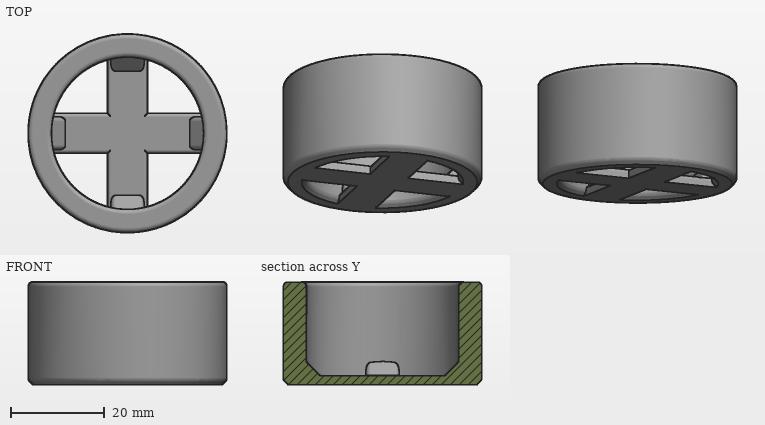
import cadquery as cq

outer_diameter = 42.5
bore_diameter = 32.5
height = 22.0
edge_round = 1.0
bottom_chamfer = 1.0
chamfer_blend = 1.0

arm_top_width = 7.05
arm_edge_round = 0.75
arm_width = arm_top_width + 2 * arm_edge_round
cross_height = 2.0

gusset_inner_radius = 13.25
gusset_round = 1.0

outer_radius = outer_diameter / 2
bore_radius = bore_diameter / 2
wall_middle = (outer_radius + bore_radius) / 2


def make_ring():
    """Ring with rounded top rims and blended chamfers on both bottom rims."""
    ring = cq.Workplane("XY").circle(outer_radius).circle(bore_radius).extrude(height)
    ring = ring.faces(">Z").edges().fillet(edge_round)
    ring = ring.faces("<Z").chamfer(bottom_chamfer)
    chamfer_corners = cq.selectors.BoxSelector(
        (-outer_radius, -outer_radius, bottom_chamfer / 2),
        (outer_radius, outer_radius, bottom_chamfer * 3 / 2),
    )
    return ring.edges("%CIRCLE").edges(chamfer_corners).fillet(chamfer_blend)


def make_cross():
    """Four arms with rounded upper edges, ending inside the wall."""
    length = 2 * wall_middle
    cross = cq.Workplane("XY").rect(length, arm_width).extrude(cross_height)
    cross = cross.union(cq.Workplane("XY").rect(arm_width, length).extrude(cross_height))
    return cross.faces(">Z").edges().fillet(arm_edge_round)


def make_gusset():
    """Wedge on the +X arm, with its two sloping edges rounded."""
    run = wall_middle - gusset_inner_radius
    gusset = (
        cq.Workplane("XZ")
        .moveTo(gusset_inner_radius, cross_height)
        .lineTo(wall_middle, cross_height)
        .lineTo(wall_middle, cross_height + run)
        .close()
        .extrude(arm_top_width / 2, both=True)
    )
    return gusset.edges("not(|X or |Y or |Z)").fillet(gusset_round)


result = make_ring().union(make_cross())
gusset = make_gusset()
arm_count = 4
for arm in range(arm_count):
    result = result.union(gusset.rotate((0, 0, 0), (0, 0, 1), arm * 360 / arm_count))